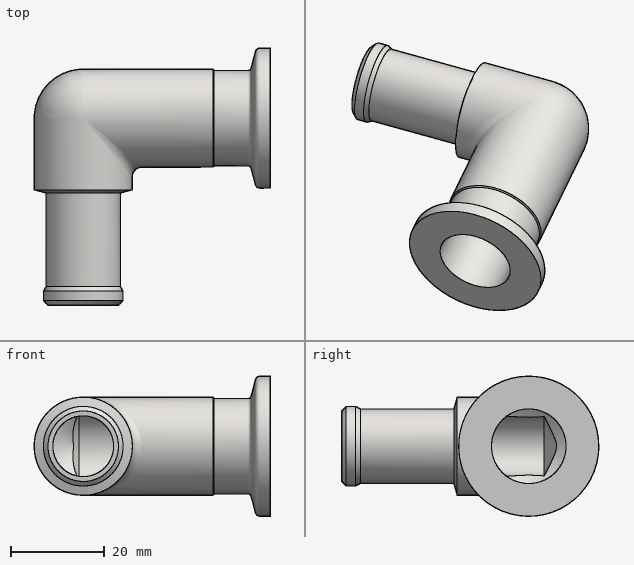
import cadquery as cq
import math

overall_width = 55
flange_diameter = 30.0
flange_radius = flange_diameter / 2
leg_length = overall_width - flange_radius
elbow_radius = 10.5
inner_corner_fillet = 2.0

sleeve_end = 27.7
neck_radius = 10.25
rim_thickness = 3.0
flange_back_angle = 15
neck_fillet = 0.5
rim_fillet = 1.0
flange_bore_radius = 8.0
flange_bore_end = -0.9

shoulder_end = 16.0
tube_radius = 8.0
bulb_radius = 8.5
bulb_length = 4.0
bulb_ramp_length = 1.0
tip_chamfer = 1.0
shoulder_angle = 15
shoulder_length = (elbow_radius - tube_radius) * math.tan(math.radians(shoulder_angle))
shoulder_start = shoulder_end - shoulder_length
barb_bore_radius = 6.5
barb_bore_end = -3.3

drill_point_angle = 118


def revolve_x(points):
    """Revolve an (x, radius) outline about the X axis."""
    return cq.Workplane("XY").polyline(points).close().revolve(360, (0, 0, 0), (1, 0, 0))


def circle_at(x):
    """Select the edges that lie in the plane at x, square to the X axis."""
    margin = 0.05
    lower = (x - margin, -leg_length, -leg_length)
    upper = (x + margin, leg_length, leg_length)
    return cq.selectors.BoxSelector(lower, upper, boundingbox=True)


def to_barb_axis(body):
    """Turn a body built along +X so that it lies along -Y."""
    return body.rotate((0, 0, 0), (0, 0, 1), -90)


def elbow_body():
    """Two equal sleeves joined by a ball, with a filleted inner corner."""
    flange_sleeve = cq.Workplane("YZ").circle(elbow_radius).extrude(sleeve_end)
    barb_sleeve = to_barb_axis(cq.Workplane("YZ").circle(elbow_radius).extrude(shoulder_start))
    sleeves = flange_sleeve.union(barb_sleeve)
    ball = cq.Workplane("XY").sphere(elbow_radius)
    joined = sleeves.union(ball)
    return joined.edges("%ELLIPSE").fillet(inner_corner_fillet)


def flange():
    """Neck and clamp flange with a tapered back."""
    rim_start = leg_length - rim_thickness
    taper_length = (flange_radius - neck_radius) * math.tan(math.radians(flange_back_angle))
    taper_start = rim_start - taper_length
    step = elbow_radius - neck_radius
    body = revolve_x([
        (sleeve_end, 0),
        (sleeve_end, elbow_radius),
        (sleeve_end + step, neck_radius),
        (taper_start, neck_radius),
        (rim_start, flange_radius),
        (leg_length, flange_radius),
        (leg_length, 0),
    ])
    body = body.edges(circle_at(taper_start)).fillet(neck_fillet)
    return body.edges(circle_at(rim_start)).fillet(rim_fillet)


def barb():
    """Shoulder cone, hose tube and end bulb."""
    bulb_start = leg_length - bulb_length
    return to_barb_axis(revolve_x([
        (shoulder_start, 0),
        (shoulder_start, elbow_radius),
        (shoulder_end, tube_radius),
        (bulb_start, tube_radius),
        (bulb_start + bulb_ramp_length, bulb_radius),
        (leg_length - tip_chamfer, bulb_radius),
        (leg_length, bulb_radius - tip_chamfer),
        (leg_length, 0),
    ]))


def blind_bore(radius, bore_end):
    """Bore from the leg face back to bore_end, then a drill point, along X."""
    point_length = radius / math.tan(math.radians(drill_point_angle / 2))
    return revolve_x([
        (leg_length, 0),
        (leg_length, radius),
        (bore_end, radius),
        (bore_end - point_length, 0),
    ])


flange_bore = blind_bore(flange_bore_radius, flange_bore_end)
barb_bore = to_barb_axis(blind_bore(barb_bore_radius, barb_bore_end))
result = elbow_body().union(flange()).union(barb()).cut(flange_bore).cut(barb_bore)